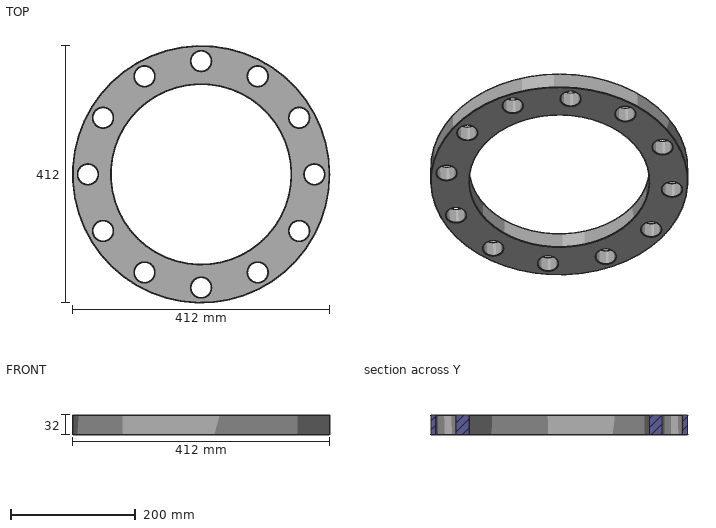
import cadquery as cq

outer_diameter = 412.0
bore_diameter = 288.0
thickness = 32.0
edge_chamfer = 1.0

bolt_circle_diameter = 362.5
bolt_hole_diameter = 32.0
bolt_hole_count = 12
first_hole_angle = 0.0


def flange_ring():
    """Flat ring resting on the XY plane."""
    return (
        cq.Workplane("XY")
        .circle(outer_diameter / 2)
        .circle(bore_diameter / 2)
        .extrude(thickness)
    )


def drill_bolt_holes(ring):
    """Through holes evenly spaced on the bolt circle."""
    return (
        ring.faces(">Z")
        .workplane(origin=(0, 0, thickness))
        .polarArray(bolt_circle_diameter / 2, first_hole_angle, 360, bolt_hole_count)
        .hole(bolt_hole_diameter)
    )


def break_edges(ring):
    """Small chamfer on every circular edge of the top and bottom faces."""
    return ring.faces("<Z or >Z").edges().chamfer(edge_chamfer)


result = break_edges(drill_bolt_holes(flange_ring()))